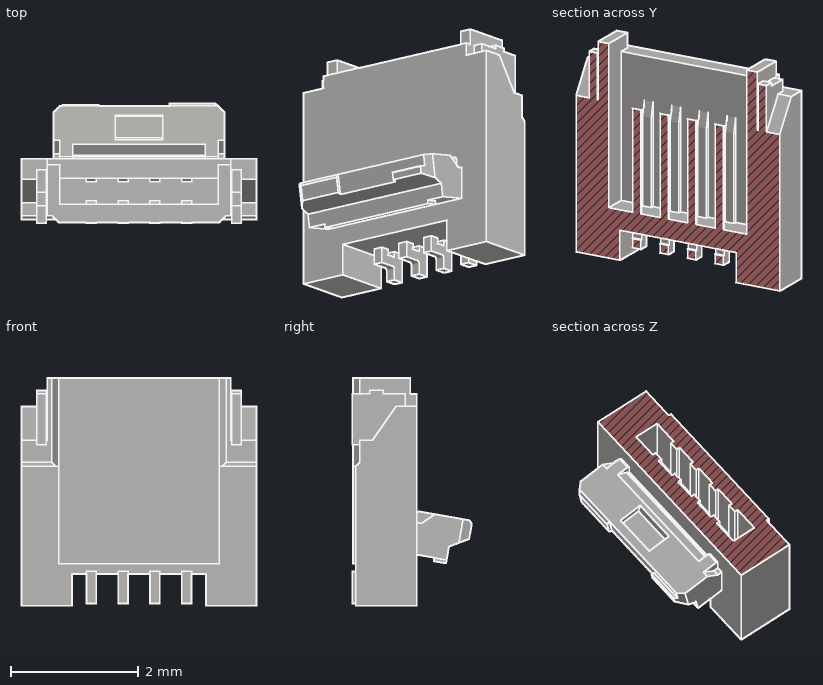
import cadquery as cq

OVERLAP = 0.1
CLEAR = 1.0

BODY_HALF = 1.85
BODY_BACK = 1.007
BODY_FRONT = 0.044
SHOULDER_Z = 3.14
SHOULDER_FRONT = 0.68
LEDGE_Z = 2.61
LEDGE_BACK = 0.31
RELIEF_FRONT = 0.11
RELIEF_Z = 2.26
RELIEF_CHAMFER = RELIEF_FRONT - BODY_FRONT

SHROUD_HALF = 1.447
SHROUD_TOP = 3.59
SHROUD_BACK = 0.907
SHROUD_CHAMFER = 0.11
PLATE_HALF = 1.263
PLATE_BOTTOM = 0.667
REAR_WALL_TOP = 3.338
CAVITY_HALF = 1.25
CAVITY_FRONT = 0.29
CAVITY_BACK = 0.7
CAVITY_FLOOR = 0.85

CONTACT_COUNT = 4
CONTACT_PITCH = 0.5
CONTACT_WIDTH = 0.157
CONTACT_RISE = 0.055
CONTACT_TOP = 2.6
CONTACT_SLOPE = 0.03
REAR_RAMP = 0.25

NOTCH_HALF = 1.053
NOTCH_TOP = 0.5
MOUNT_FRONT = -0.012
PIN_BOTTOM = 0.037
PIN_TOP = 0.542
PIN_DEPTH = 0.2
PIN_LEG_BOTTOM = 0.25
PIN_BEND_RADIUS = 0.04
PIN_LEG_BACK = 0.5
PIN_LEG_THICKNESS = 0.16

TAB_GAP = 0.01
TAB_INNER = SHROUD_HALF + TAB_GAP
TAB_OUTER = 1.612
TAB_BACK = 0.827
TAB_BOTTOM = 2.54
TAB_TOP = 3.338
BUMP_FRONT = 0.266
BUMP_BACK = 0.476
BUMP_TOP = 3.393

LATCH_TILT = 10
LATCH_ROOT_Z = 1.495
LATCH_HALF = 1.348
LATCH_END = 0.89
LATCH_HEIGHT = 0.68
NOSE_HEIGHT = 0.292
HEEL_U = 0.598
HEEL_W = -0.466
CORNER_CHAMFER = 0.15
END_RECESS_U = 0.84
TOP_CHAMFER = LATCH_END - END_RECESS_U
RIGHT_PAD_X = 0.48
LEFT_PAD_X = -0.633
LEFT_PAD_TOP = -0.174
FOOT_HALF = 1.042
FOOT_DEPTH = 0.055
FOOT_INNER = 0.4
SIDE_NOTCH_X = 1.248
SIDE_NOTCH_DEPTH = 0.18
SIDE_NOTCH_START = 0.29
SIDE_NOTCH_END = 0.11
ROOT_CHAMFER = 0.03
GROOVE_HALF = 1.042
GROOVE_START = 0.226
GROOVE_KNEE = (0.072, -0.12)
GROOVE_BOTTOM = (0.055, -0.155)
WINDOW_HALF = 0.37
WINDOW_INNER = 0.302
WINDOW_OUTER = 0.695
WINDOW_DEPTH = 0.12
WINDOW_RAMP = 0.055


def box(x0, x1, y0, y1, z0, z1):
    """Axis-aligned box between two opposite corners."""
    return cq.Workplane("XY").box(x1 - x0, y1 - y0, z1 - z0, centered=False).translate((x0, y0, z0))


def side_prism(points, x0, x1):
    """Extrude an outline of (y, z) points from x0 to x1."""
    return cq.Workplane("YZ").polyline(points).close().extrude(x1 - x0).translate((x0, 0, 0))


def make_body():
    """Wide body with sloped shoulders and a stepped front."""
    outline = [
        (BODY_FRONT, 0),
        (BODY_BACK, 0),
        (BODY_BACK, SHOULDER_Z),
        (SHOULDER_FRONT, SHOULDER_Z),
        (LEDGE_BACK, LEDGE_Z),
        (RELIEF_FRONT, LEDGE_Z),
        (RELIEF_FRONT, RELIEF_Z),
        (BODY_FRONT, RELIEF_Z - RELIEF_CHAMFER),
    ]
    return side_prism(outline, -BODY_HALF, BODY_HALF)


def make_shroud():
    """Upper housing with chamfered front corners, and the raised front plate."""
    plan = [
        (-PLATE_HALF, 0),
        (PLATE_HALF, 0),
        (PLATE_HALF + SHROUD_CHAMFER, SHROUD_CHAMFER),
        (SHROUD_HALF, SHROUD_CHAMFER),
        (SHROUD_HALF, BODY_BACK),
        (-SHROUD_HALF, BODY_BACK),
        (-SHROUD_HALF, SHROUD_CHAMFER),
        (-PLATE_HALF - SHROUD_CHAMFER, SHROUD_CHAMFER),
    ]
    bottom = RELIEF_Z - RELIEF_CHAMFER
    shroud = cq.Workplane("XY").workplane(offset=bottom).polyline(plan).close().extrude(SHROUD_TOP - bottom)
    plate = box(-PLATE_HALF, PLATE_HALF, 0, BODY_FRONT + OVERLAP, PLATE_BOTTOM, SHROUD_TOP)
    above_rear = SHROUD_TOP + CLEAR
    shroud = shroud.cut(box(-BODY_HALF, BODY_HALF, SHROUD_BACK, BODY_BACK + CLEAR, REAR_WALL_TOP, above_rear))
    shroud = shroud.cut(box(-CAVITY_HALF, CAVITY_HALF, CAVITY_BACK, BODY_BACK, REAR_WALL_TOP, above_rear))
    return shroud.union(plate)


def make_contacts(x):
    """Front and rear contact strips on the cavity walls, centred on x."""
    x0 = x - CONTACT_WIDTH / 2
    x1 = x + CONTACT_WIDTH / 2
    base = CAVITY_FLOOR - OVERLAP
    front_inner = CAVITY_FRONT + CONTACT_RISE
    front = [
        (CAVITY_FRONT - OVERLAP, base),
        (front_inner, base),
        (front_inner, CONTACT_TOP - CONTACT_SLOPE),
        (CAVITY_FRONT, CONTACT_TOP),
        (CAVITY_FRONT - OVERLAP, CONTACT_TOP),
    ]
    rear_inner = CAVITY_BACK - CONTACT_RISE
    rear = [
        (CAVITY_BACK + OVERLAP, base),
        (rear_inner, base),
        (rear_inner, CONTACT_TOP - REAR_RAMP),
        (CAVITY_BACK, CONTACT_TOP),
        (CAVITY_BACK + OVERLAP, CONTACT_TOP),
    ]
    return side_prism(front, x0, x1).union(side_prism(rear, x0, x1))


def make_pin(x):
    """Bent solder pin centred on x: foot in front, leg running back and up into the body."""
    pin_back = MOUNT_FRONT + PIN_DEPTH
    leg_top = PIN_LEG_BOTTOM + PIN_LEG_THICKNESS
    riser_front = PIN_LEG_BACK - PIN_LEG_THICKNESS
    pin = (
        cq.Workplane("YZ")
        .moveTo(MOUNT_FRONT, PIN_BOTTOM)
        .lineTo(pin_back, PIN_BOTTOM)
        .lineTo(pin_back, PIN_LEG_BOTTOM - PIN_BEND_RADIUS)
        .radiusArc((pin_back + PIN_BEND_RADIUS, PIN_LEG_BOTTOM), PIN_BEND_RADIUS)
        .lineTo(PIN_LEG_BACK, PIN_LEG_BOTTOM)
        .lineTo(PIN_LEG_BACK, NOTCH_TOP + OVERLAP)
        .lineTo(riser_front, NOTCH_TOP + OVERLAP)
        .lineTo(riser_front, leg_top)
        .lineTo(pin_back, leg_top)
        .lineTo(pin_back, PIN_TOP)
        .lineTo(MOUNT_FRONT, PIN_TOP)
        .close()
        .extrude(CONTACT_WIDTH)
    )
    return pin.translate((x - CONTACT_WIDTH / 2, 0, 0))


def make_tab():
    """Right-hand side tab with its small bump on top."""
    plate = box(TAB_INNER, TAB_OUTER, MOUNT_FRONT, TAB_BACK, TAB_BOTTOM, TAB_TOP)
    bump = box(TAB_INNER, TAB_OUTER, BUMP_FRONT, BUMP_BACK, TAB_TOP - OVERLAP, BUMP_TOP)
    return plate.union(bump)


def cut_latch_end(latch):
    """Shape the free end: corner chamfers, top chamfer and the recess that leaves two pads."""
    latch = latch.edges(cq.selectors.BoxSelector(
        (-LATCH_HALF - CLEAR, LATCH_END - TOP_CHAMFER, -NOSE_HEIGHT - TOP_CHAMFER),
        (LATCH_HALF + CLEAR, LATCH_END + CLEAR, CLEAR),
    )).edges("|Z").chamfer(CORNER_CHAMFER)
    top_edge = [
        (LATCH_END - TOP_CHAMFER, 0),
        (LATCH_END, -TOP_CHAMFER),
        (LATCH_END, 0),
    ]
    latch = latch.cut(side_prism(top_edge, -LATCH_HALF, LATCH_HALF))
    recess_end = LATCH_END + CLEAR
    upper = box(-LATCH_HALF, RIGHT_PAD_X, END_RECESS_U, recess_end, LEFT_PAD_TOP, CLEAR)
    middle = box(LEFT_PAD_X, RIGHT_PAD_X, END_RECESS_U, recess_end, -LATCH_HEIGHT, CLEAR)
    return latch.cut(upper).cut(middle)


def cut_latch_root(latch):
    """Groove, root chamfer and side notches where the latch meets the body."""
    groove = [
        (GROOVE_START, 0),
        GROOVE_KNEE,
        GROOVE_BOTTOM,
        (-OVERLAP, GROOVE_BOTTOM[1]),
        (-OVERLAP, 0),
    ]
    root = [
        (ROOT_CHAMFER, 0),
        (-OVERLAP, -ROOT_CHAMFER - OVERLAP),
        (-OVERLAP, 0),
    ]
    notch = [
        (SIDE_NOTCH_START, 0),
        (SIDE_NOTCH_END, -SIDE_NOTCH_DEPTH),
        (-OVERLAP, -SIDE_NOTCH_DEPTH),
        (-OVERLAP, 0),
    ]
    latch = latch.cut(side_prism(groove, -GROOVE_HALF, GROOVE_HALF))
    latch = latch.cut(side_prism(root, -LATCH_HALF, LATCH_HALF))
    latch = latch.cut(side_prism(notch, SIDE_NOTCH_X, LATCH_HALF))
    return latch.cut(side_prism(notch, -LATCH_HALF, -SIDE_NOTCH_X))


def make_latch():
    """Tilted latch on the back of the body."""
    outline = [
        (-OVERLAP, 0),
        (LATCH_END, 0),
        (LATCH_END, -NOSE_HEIGHT),
        (HEEL_U, HEEL_W),
        (HEEL_U, -LATCH_HEIGHT),
        (-OVERLAP, -LATCH_HEIGHT),
    ]
    window = [
        (WINDOW_INNER, 0),
        (WINDOW_OUTER, 0),
        (WINDOW_OUTER, -WINDOW_DEPTH),
        (WINDOW_INNER + WINDOW_RAMP, -WINDOW_DEPTH),
    ]
    latch = side_prism(outline, -LATCH_HALF, LATCH_HALF)
    latch = cut_latch_root(cut_latch_end(latch))
    latch = latch.cut(side_prism(window, -WINDOW_HALF, WINDOW_HALF))
    foot_bottom = -LATCH_HEIGHT - FOOT_DEPTH
    latch = latch.union(box(-FOOT_HALF, FOOT_HALF, FOOT_INNER, HEEL_U, foot_bottom, HEEL_W))
    latch = latch.rotate((0, 0, 0), (1, 0, 0), -LATCH_TILT)
    return latch.translate((0, BODY_BACK, LATCH_ROOT_Z))


def contact_positions():
    """X positions of the contacts, centred on the part."""
    middle = (CONTACT_COUNT - 1) / 2
    return [(i - middle) * CONTACT_PITCH for i in range(CONTACT_COUNT)]


tab = make_tab()
result = make_body().union(make_shroud())
result = result.cut(box(-CAVITY_HALF, CAVITY_HALF, CAVITY_FRONT, CAVITY_BACK, CAVITY_FLOOR, SHROUD_TOP + CLEAR))
result = result.cut(box(-NOTCH_HALF, NOTCH_HALF, -CLEAR, BODY_BACK + CLEAR, -CLEAR, NOTCH_TOP))
result = result.union(tab).union(tab.mirror("YZ"))
for contact_x in contact_positions():
    result = result.union(make_contacts(contact_x)).union(make_pin(contact_x))
result = result.union(make_latch())